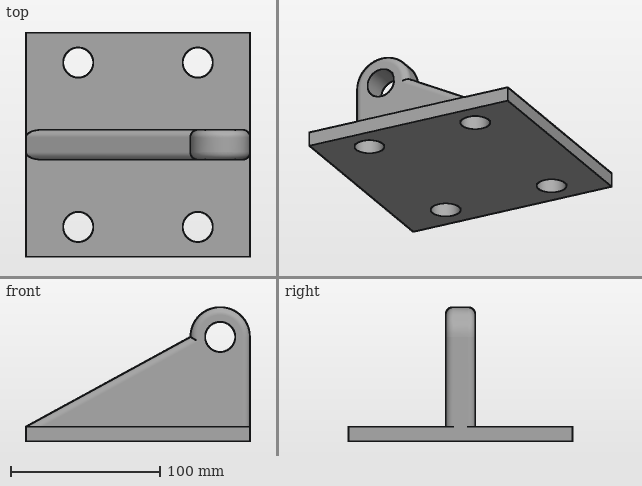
import cadquery as cq

plate_side = 150.0
plate_thickness = 10.0

mount_hole_diameter = 20.0
mount_hole_edge_y = 20.0
mount_hole_edge_x = 35.0
mount_hole_pitch_x = 80.0

rib_thickness = 20.0
eye_radius = 20.0
eye_bore_diameter = 20.0
eye_height = 70.0
rib_fillet = 5.0

plate_half = plate_side / 2
eye_x = plate_half - eye_radius


def make_plate():
    first_hole_x = -plate_half + mount_hole_edge_x
    hole_y = plate_half - mount_hole_edge_y
    hole_centers = [
        (x, y)
        for x in (first_hole_x, first_hole_x + mount_hole_pitch_x)
        for y in (-hole_y, hole_y)
    ]
    plate = cq.Workplane("XY").box(
        plate_side, plate_side, plate_thickness, centered=(True, True, False)
    )
    return plate.faces(">Z").workplane().pushPoints(hole_centers).hole(mount_hole_diameter)


def make_rib():
    rib = (
        cq.Workplane("XZ")
        .moveTo(-plate_half, plate_thickness)
        .lineTo(eye_x - eye_radius, eye_height)
        .threePointArc((eye_x, eye_height + eye_radius), (plate_half, eye_height))
        .lineTo(plate_half, plate_thickness)
        .close()
        .extrude(rib_thickness / 2, both=True)
    )
    return rib.faces("|Y").edges("not <Z").fillet(rib_fillet)


def make_eye_bore():
    return (
        cq.Workplane("XZ")
        .center(eye_x, eye_height)
        .circle(eye_bore_diameter / 2)
        .extrude(rib_thickness, both=True)
    )


result = make_plate().union(make_rib()).cut(make_eye_bore())